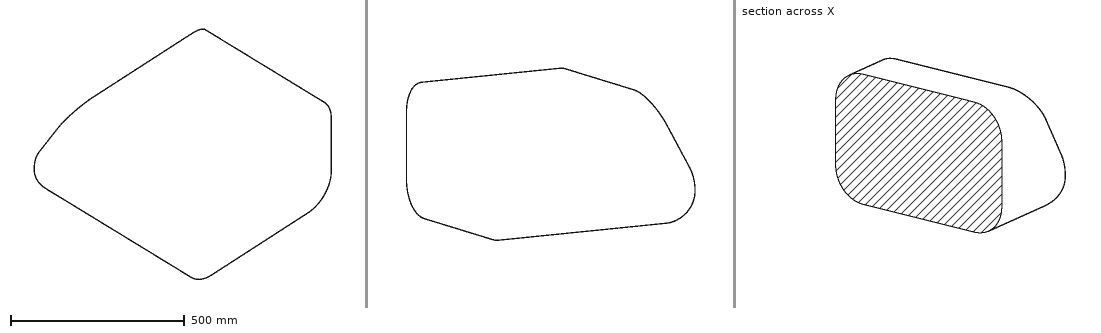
import cadquery as cq
import math

length = 625
width = 600
height = 400
corner_radius = 100
edge_radius = 10.0

slope_angle = math.radians(30)
nose_radius = 137.5
nose_centre_z = 106

front_x = -length / 2
back_x = length / 2
nose_centre_x = front_x + nose_radius

tangent_x = nose_centre_x - nose_radius * math.cos(slope_angle)
tangent_z = nose_centre_z + nose_radius * math.sin(slope_angle)
top_front_x = tangent_x + (height - tangent_z) * math.tan(slope_angle)
bottom_front_x = nose_centre_x - math.sqrt(nose_radius**2 - nose_centre_z**2)


def rounded_bar():
    """Full-length bar with its four lengthwise edges rounded."""
    bar = cq.Workplane("XY").box(length, width, height, centered=(True, True, False))
    return bar.edges("|X").fillet(corner_radius)


def side_profile():
    """Side outline swept across the full width."""
    return (
        cq.Workplane("XZ")
        .moveTo(back_x, 0)
        .lineTo(back_x, height)
        .lineTo(top_front_x, height)
        .lineTo(tangent_x, tangent_z)
        .threePointArc((front_x, nose_centre_z), (bottom_front_x, 0))
        .close()
        .extrude(width / 2, both=True)
    )


def nose_rim():
    """Edges around the nose, without the seam between its sloping and round faces."""
    margin = 6
    nose_zone = cq.selectors.BoxSelector(
        (front_x - margin, -width, -margin),
        (top_front_x + margin, width, height + margin),
    )
    seam = cq.selectors.NearestToPointSelector((tangent_x, 0, tangent_z))
    return nose_zone - seam


body = rounded_bar().intersect(side_profile())

body = body.faces(">X").edges().fillet(edge_radius)
result = body.edges(nose_rim()).fillet(edge_radius)